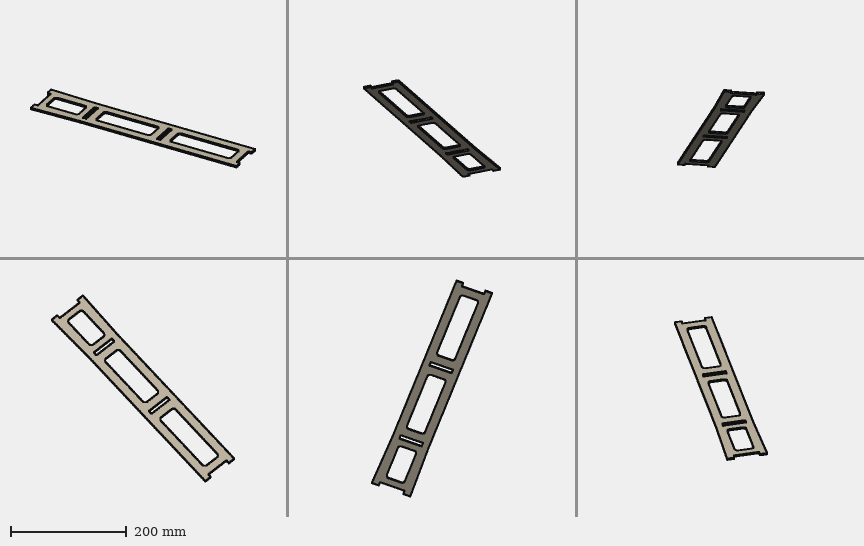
import cadquery as cq

length = 406.5
thickness = 3.4
end_width = 71.0
body_width = 66.0
taper_length = 94.5

notch_depth = 6.5
left_notch_width = 45.5
slot_length = 41.0
slot_width = 7.0
slot_starts = (taper_length, 241.5)
window_width = 33.5
window_corner_radius = 5.0
window_spans = ((18.5, 82.5), (117.0, 226.0), (264.0, 385.0))


def cutter(x_start, x_end, width):
    """Rectangular through-cutter between two distances from the left end."""
    return (
        cq.Workplane("XY")
        .center((x_start + x_end - length) / 2, 0)
        .rect(x_end - x_start, width)
        .extrude(thickness)
    )


def plate():
    """Solid plate with its tapered left end."""
    left = -length / 2
    taper_end = left + taper_length
    upper_edge = [
        (left, end_width / 2),
        (taper_end, body_width / 2),
        (length / 2, body_width / 2),
    ]
    lower_edge = [(x, -y) for x, y in reversed(upper_edge)]
    return cq.Workplane("XY").polyline(upper_edge + lower_edge).close().extrude(thickness)


result = plate()

result = result.cut(cutter(0, notch_depth, left_notch_width))
result = result.cut(cutter(length - notch_depth, length, slot_length))

for slot_start in slot_starts:
    result = result.cut(cutter(slot_start, slot_start + slot_width, slot_length))

for window_start, window_end in window_spans:
    window = cutter(window_start, window_end, window_width)
    result = result.cut(window.edges("|Z").fillet(window_corner_radius))